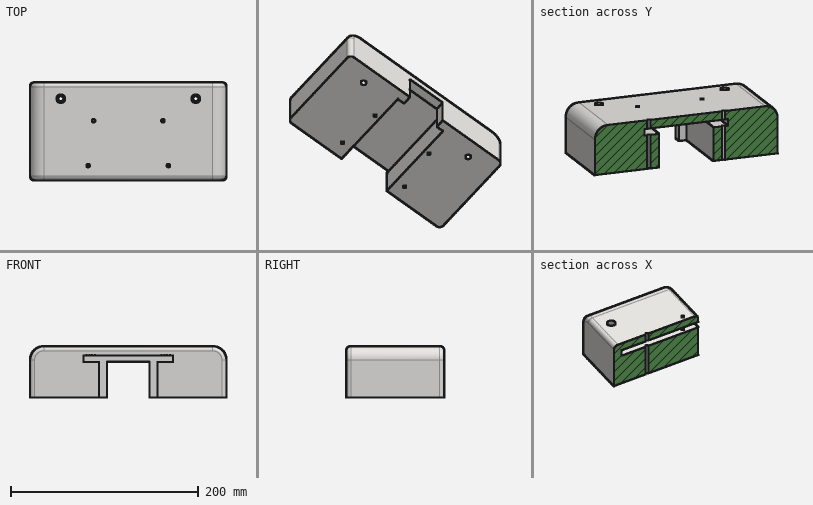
import cadquery as cq

length = 210.0
width = 105.0
height = 55.0
shoulder_radius = 15.0
edge_radius = 5.0

roof_thickness = 10.0
back_wall = 10.0
slot_width = 95.3
slot_height = 6.7
stem_width = 62.2
slot_roof = height - roof_thickness
slot_floor = slot_roof - slot_height
slot_depth = width - back_wall

window_width = 45.2

mount_spacing = 144.0
mount_y = 34.9
mount_diameter = 5.7
counterbore_diameter = 9.0
counterbore_depth = 10.0

pin_diameter = 3.2
rear_pin_spacing = 74.0
rear_pin_y = 11.3
front_pin_spacing = 85.7
front_pin_y = -36.5


def make_body():
    """Block with rounded shoulders and softened front and back outlines."""
    body = cq.Workplane("XY").box(length, width, height, centered=(True, True, False))
    body = body.edges("|Y and >Z").fillet(shoulder_radius)
    return body.faces("<Y or >Y").edges("not <Z").fillet(edge_radius)


def front_cutter(cut_width, bottom, top, depth):
    """Box centred in X that runs from the front face to the given depth."""
    corner = (-cut_width / 2, -width / 2, bottom)
    return cq.Workplane("XY").box(cut_width, depth, top - bottom, centered=False).translate(corner)


def pair(spacing, y):
    """Two points mirrored about the YZ plane."""
    return [(-spacing / 2, y), (spacing / 2, y)]


def top_plane(solid):
    """Work plane on the top face, sharing the body's X and Y origin."""
    return solid.faces(">Z").workplane(origin=(0, 0, height))


result = make_body()

result = result.cut(front_cutter(slot_width, slot_floor, slot_roof, slot_depth))
result = result.cut(front_cutter(stem_width, 0, slot_floor, slot_depth))
result = result.cut(front_cutter(window_width, 0, slot_floor, width))

result = top_plane(result).pushPoints(pair(mount_spacing, mount_y)).cboreHole(
    mount_diameter, counterbore_diameter, counterbore_depth
)
pin_points = pair(rear_pin_spacing, rear_pin_y) + pair(front_pin_spacing, front_pin_y)
result = top_plane(result).pushPoints(pin_points).hole(pin_diameter)